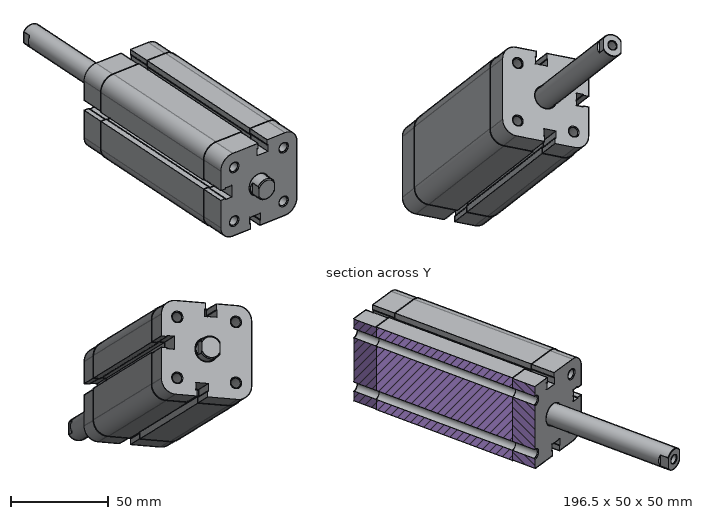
import cadquery as cq
import math

HOUSING_WIDTH = 50.0
HOUSING_CORNER_RADIUS = 8.0
HOUSING_START = -8.3
HOUSING_LENGTH = 85.9

CAP_INSET = 0.3
CAP_WIDTH = HOUSING_WIDTH - 2 * CAP_INSET
CAP_CORNER_RADIUS = HOUSING_CORNER_RADIUS - CAP_INSET
CAP_LENGTH = 14.1
CAPS_START = HOUSING_START - CAP_LENGTH
CAPS_END = HOUSING_START + HOUSING_LENGTH + CAP_LENGTH

BOLT_SPACING = 32.0
BOLT_HOLE_DIAMETER = 5.1
BOLT_COUNTERSINK_DIAMETER = 6.0

SLOT_OFFSET = 2.4
SLOT_MOUTH_WIDTH = 5.3
SLOT_FLOOR_WIDTH = 6.3
SLOT_LIP_DEPTH = 3.7
SLOT_DEPTH = 7.0
SLOT_OVERCUT = 2.0
SLOT_SIDE_ANGLES = (0, 90, -90)
CAP_SLOT_CLEARANCE = 0.3

ROD_DIAMETER = 12.0
ROD_START = -98.2
ROD_LENGTH = 196.5
ROD_END = ROD_START + ROD_LENGTH
BORE_COUNTERSINK_DIAMETER = 12.8
ROD_FRONT_CHAMFER = 0.2
ROD_REAR_CHAMFER = 0.5

FLAT_DISTANCE = 10.0
FLAT_LENGTH_FRONT = 2.5
FLAT_LENGTH_REAR = 2.7
FLAT_SLOPE_LENGTH = 0.25

ROD_HOLE_DIAMETER = 4.7
ROD_HOLE_DEPTH = 15.7
ROD_COUNTERSINK_DIAMETER = 5.3
ROD_COUNTERSINK_DEPTH = (ROD_COUNTERSINK_DIAMETER - ROD_HOLE_DIAMETER) / 2
DRILL_POINT_ANGLE = 118


def rod_along_x(start, length, diameter):
    """Plain cylinder on the X axis."""
    return cq.Workplane("YZ", origin=(start, 0, 0)).circle(diameter / 2).extrude(length)


def slot_cutter(start, length, clearance):
    """Undercut slot in the -Y side, open past the surface; its mouth is narrower than its floor."""
    surface = -HOUSING_WIDTH / 2
    outside = surface - SLOT_OVERCUT
    lip = surface + SLOT_LIP_DEPTH - clearance
    floor = surface + SLOT_DEPTH + clearance
    mouth_half = SLOT_MOUTH_WIDTH / 2 + clearance
    floor_half = SLOT_FLOOR_WIDTH / 2 + clearance
    outline = [
        (outside, SLOT_OFFSET - mouth_half),
        (lip, SLOT_OFFSET - mouth_half),
        (lip, SLOT_OFFSET - floor_half),
        (floor, SLOT_OFFSET - floor_half),
        (floor, SLOT_OFFSET + floor_half),
        (lip, SLOT_OFFSET + floor_half),
        (lip, SLOT_OFFSET + mouth_half),
        (outside, SLOT_OFFSET + mouth_half),
    ]
    return cq.Workplane("YZ", origin=(start, 0, 0)).polyline(outline).close().extrude(length)


def body_section(start, length, width, corner_radius, slot_clearance):
    """Rounded square block along X with the rod bore, bolt holes and side slots."""
    block = cq.Workplane("YZ", origin=(start, 0, 0)).rect(width, width).extrude(length)
    block = block.edges("|X").fillet(corner_radius)
    bolt_holes = (
        cq.Workplane("YZ", origin=(start, 0, 0))
        .rect(BOLT_SPACING, BOLT_SPACING, forConstruction=True)
        .vertices()
        .circle(BOLT_HOLE_DIAMETER / 2)
        .extrude(length)
    )
    block = block.cut(rod_along_x(start, length, ROD_DIAMETER)).cut(bolt_holes)
    slot = slot_cutter(start, length, slot_clearance)
    for angle in SLOT_SIDE_ANGLES:
        block = block.cut(slot.rotate((0, 0, 0), (1, 0, 0), angle))
    return block


def countersink_cutter(face_x, inward, y, z, outer_diameter, hole_diameter):
    """45 degree cone along X that opens a hole's rim from its own to a larger diameter."""
    depth = (outer_diameter - hole_diameter) / 2
    cone = cq.Solid.makeCone(
        outer_diameter / 2,
        hole_diameter / 2,
        depth,
        pnt=cq.Vector(face_x, y, z),
        dir=cq.Vector(inward, 0, 0),
    )
    return cq.Workplane(cone)


def make_cap(start, outer_face_x, inward):
    """End cap whose rod bore and bolt holes are countersunk at its outer face."""
    cap = body_section(start, CAP_LENGTH, CAP_WIDTH, CAP_CORNER_RADIUS, CAP_SLOT_CLEARANCE)
    cap = cap.cut(countersink_cutter(outer_face_x, inward, 0, 0, BORE_COUNTERSINK_DIAMETER, ROD_DIAMETER))
    half_spacing = BOLT_SPACING / 2
    for y in (-half_spacing, half_spacing):
        for z in (-half_spacing, half_spacing):
            cap = cap.cut(
                countersink_cutter(outer_face_x, inward, y, z, BOLT_COUNTERSINK_DIAMETER, BOLT_HOLE_DIAMETER)
            )
    return cap


def make_housing():
    return body_section(HOUSING_START, HOUSING_LENGTH, HOUSING_WIDTH, HOUSING_CORNER_RADIUS, 0)


def flat_cutter(end_x, inward, flat_length):
    """Wedge that cuts the +Y flat at one rod end, with a sloped shoulder at its inner end."""
    flat = FLAT_DISTANCE / 2
    surface = ROD_DIAMETER / 2
    shoulder_x = end_x + inward * flat_length
    slope_x = shoulder_x + inward * FLAT_SLOPE_LENGTH
    outline = [(end_x, flat), (shoulder_x, flat), (slope_x, surface), (end_x, surface)]
    return cq.Workplane("XY").polyline(outline).close().extrude(ROD_DIAMETER / 2, both=True)


def rod_hole_cutter():
    """Countersunk blind hole with a conical bottom, revolved about the X axis."""
    radius = ROD_HOLE_DIAMETER / 2
    point_length = radius / math.tan(math.radians(DRILL_POINT_ANGLE / 2))
    bottom_x = ROD_START + ROD_HOLE_DEPTH
    outline = [
        (ROD_START, 0),
        (ROD_START, ROD_COUNTERSINK_DIAMETER / 2),
        (ROD_START + ROD_COUNTERSINK_DEPTH, radius),
        (bottom_x, radius),
        (bottom_x + point_length, 0),
    ]
    return cq.Workplane("XY").polyline(outline).close().revolve(360, (0, 0, 0), (1, 0, 0))


def make_rod():
    rod = rod_along_x(ROD_START, ROD_LENGTH, ROD_DIAMETER)
    rod = rod.faces("<X").chamfer(ROD_FRONT_CHAMFER)
    rod = rod.faces(">X").chamfer(ROD_REAR_CHAMFER)
    front_flat = flat_cutter(ROD_START, 2, FLAT_LENGTH_FRONT)
    rear_flat = flat_cutter(ROD_END, -2, FLAT_LENGTH_REAR)
    for flat in (front_flat, rear_flat):
        rod = rod.cut(flat).cut(flat.mirror("XZ"))
    return rod.cut(rod_hole_cutter())


front_cap = make_cap(CAPS_START, CAPS_START, 1)
rear_cap = make_cap(HOUSING_START + HOUSING_LENGTH, CAPS_END, -1)
housing = make_housing()
rod = make_rod()

result = cq.Compound.makeCompound([housing.val(), front_cap.val(), rear_cap.val(), rod.val()])